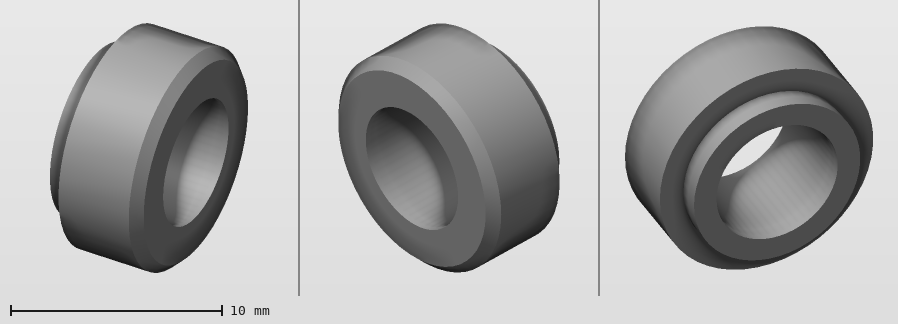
import cadquery as cq

total_length = 5.46
body_diameter = 11.18
spigot_diameter = 8.71
bore_diameter = 6.35
spigot_length = 1.15
chamfer_size = 0.52

body_length = total_length - spigot_length


def make_spigot():
    """Reduced-diameter shoulder at the -X end."""
    return cq.Workplane("YZ").circle(spigot_diameter / 2).extrude(spigot_length)


def make_body():
    """Full-diameter body with its outer rim chamfered at the +X end."""
    body = cq.Workplane("YZ", origin=(spigot_length, 0, 0)).circle(body_diameter / 2).extrude(body_length)
    return body.faces(">X").edges().chamfer(chamfer_size)


def make_bore():
    """Cylinder that opens the part from end to end."""
    return cq.Workplane("YZ").circle(bore_diameter / 2).extrude(total_length)


result = make_spigot().union(make_body()).cut(make_bore())